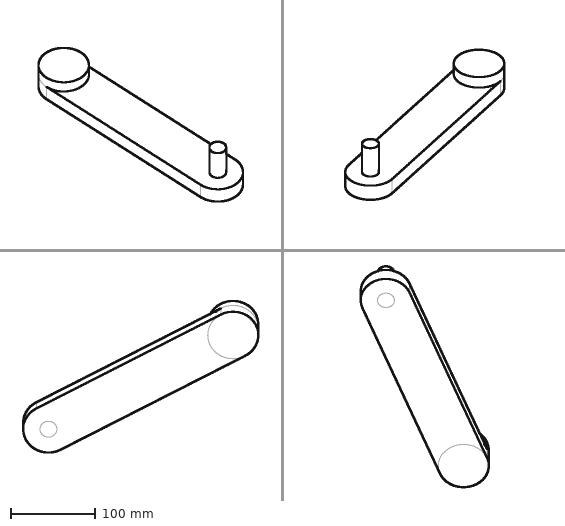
import cadquery as cq

length = 310.0
width = 60.0
arm_thickness = 20.0
hub_height = 35.0
pin_diameter = 20.0
total_height = 60.0

center_distance = length - width
hub_x = 0.0
pin_x = hub_x + center_distance


def upright_cylinder(x, diameter, height):
    """Cylinder standing on the base plane, on the arm's centre line."""
    return cq.Workplane("XY").center(x, 0).circle(diameter / 2).extrude(height)


arm = (
    cq.Workplane("XY")
    .center((hub_x + pin_x) / 2, 0)
    .slot2D(length, width)
    .extrude(arm_thickness)
)

hub = upright_cylinder(hub_x, width, hub_height)
pin = upright_cylinder(pin_x, pin_diameter, total_height)

result = arm.union(hub).union(pin)